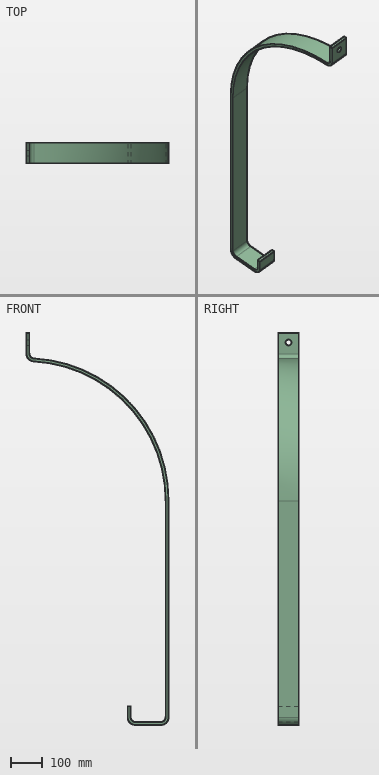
import cadquery as cq
import math

total_depth = 450.0
total_height = 1240.0
strip_width = 65.0
thickness = 10.0

arc_outer_radius = total_depth
arc_centre_z = 710.0

bend_outer_radius = 25.0
bend_inner_radius = bend_outer_radius - thickness
bend_mid_radius = bend_outer_radius - thickness / 2

hook_width = 130.0
hook_tip_z = 60.0
hook_tip_x = total_depth - hook_width + thickness / 2

hole_diameter = 18.0
hole_drop = 30.5


def polar(centre, radius, angle):
    """Point at the given angle in degrees, measured from +X towards +Z."""
    a = math.radians(angle)
    return (centre[0] + radius * math.cos(a), centre[1] + radius * math.sin(a))


def add_arc(path, centre, radius, start_angle, end_angle):
    """Extend the path, already at the start angle, along a circular arc to the end angle."""
    middle_angle = (start_angle + end_angle) / 2
    return path.threePointArc(polar(centre, radius, middle_angle), polar(centre, radius, end_angle))


def make_centreline():
    """Middle line of the bar, from the hook tip to the top of the tab."""
    left_bend = (hook_tip_x + bend_mid_radius, bend_outer_radius)
    right_bend = (total_depth - bend_outer_radius, bend_outer_radius)

    arc_centre = (0.0, arc_centre_z)
    arc_mid_radius = arc_outer_radius - thickness / 2
    centre_distance = arc_outer_radius + bend_inner_radius
    arc_end_angle = math.degrees(math.acos(bend_outer_radius / centre_distance))
    tab_bend = polar(arc_centre, centre_distance, arc_end_angle)

    path = cq.Workplane("XZ").moveTo(hook_tip_x, hook_tip_z)
    path = path.lineTo(*polar(left_bend, bend_mid_radius, 180))
    path = add_arc(path, left_bend, bend_mid_radius, 180, 270)
    path = path.lineTo(*polar(right_bend, bend_mid_radius, 270))
    path = add_arc(path, right_bend, bend_mid_radius, 270, 360)
    path = path.lineTo(*polar(arc_centre, arc_mid_radius, 0))
    path = add_arc(path, arc_centre, arc_mid_radius, 0, arc_end_angle)
    path = add_arc(path, tab_bend, bend_mid_radius, arc_end_angle + 180, 180)
    return path.lineTo(thickness / 2, total_height)


def make_strap():
    """Bar of rectangular section swept along the centreline."""
    section = cq.Workplane("XY", origin=(hook_tip_x, 0, hook_tip_z)).rect(thickness, strip_width)
    return section.sweep(make_centreline())


def make_hole():
    """Cutter for the round hole through the tab, along X."""
    return (
        cq.Workplane("YZ")
        .center(0, total_height - hole_drop)
        .circle(hole_diameter / 2)
        .extrude(thickness)
    )


result = make_strap().cut(make_hole())